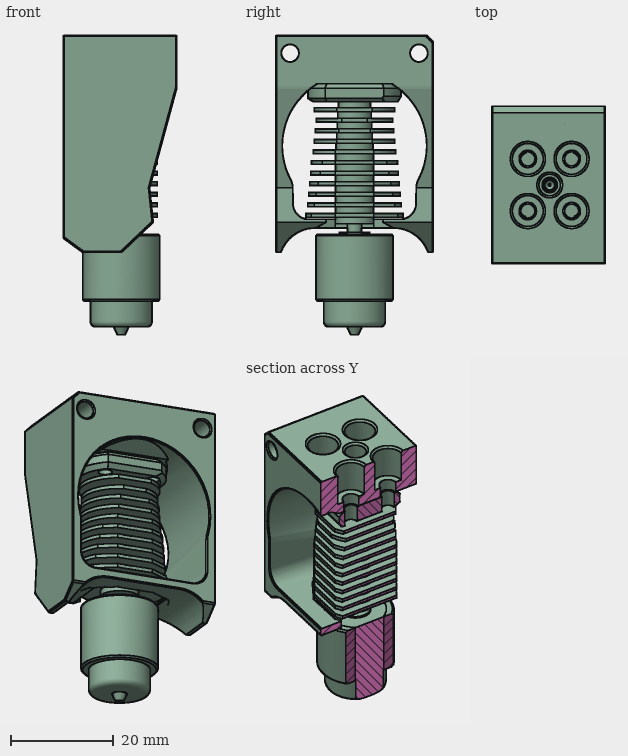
import cadquery as cq
import math


HOUSING_TOP = 58.45
HOUSING_BACK = -11.35
HOUSING_FRONT = 10.85
HOUSING_WIDTH = 30.8
HOUSING_FOOT = 16.05
BACK_EDGE_Z = 18.9
RIM_CHAMFER = 0.25
TOP_CHAMFER = 1.35

CAVITY_RADIUS = 14.1
CAVITY_CENTRE_Z = 36.85
FLOOR_TOP = 22.55
FLOOR_BOTTOM = 20.8
WALL_HALF_WIDTH_BACK = 13.45
WALL_TAPER = 0.085
FLOOR_FILLET = 3.0
WALL_BLEND = 4.1
ARCH_RADIUS = 7.0
ARCH_FLAT_HALF = 7.7

MOUNT_DIAMETER = 3.4
MOUNT_RIM_DIAMETER = 4.0
MOUNT_Y = 12.55
MOUNT_Z = 54.9

SCREW_X = 4.25
SCREW_Y = 5.1
SCREW_BORE_DIAMETER = 6.0
SCREW_SEAT_Z = 51.4
SCREW_CLEARANCE_DIAMETER = 3.4
SCREW_THREAD_DIAMETER = 2.75
INLET_DIAMETER = 4.2
BORE_CHAMFER = 0.4

FLAT_X = 7.05
FACET_START_Y = 3.75
FACET_ANGLE = 30.0
PLATE_RADIUS = 9.1
PLATE_TOP = 48.95
PLATE_BOTTOM = 45.4
PLATE_TOP_CHAMFER = 0.9
PLATE_BOTTOM_CHAMFER_HEIGHT = 1.1
PLATE_BOTTOM_CHAMFER_WIDTH = 0.7
FIN_RADII = [7.9, 7.5, 7.7, 7.9, 8.05, 8.4, 8.6, 8.75, 8.95, 9.2, 9.45]
FIN_STACK_HEIGHT = 20.6
FIN_THICKNESS = 0.75
BOTTOM_FIN_BOTTOM = 22.9
STEM_TOP_RADIUS = 3.15
STEM_STEP = 0.1
STEM_RADIUS = 3.75
STEM_BOTTOM = 21.6
FILAMENT_DIAMETER = 2.45
FILAMENT_RIM_DIAMETER = 3.0
FIT_CLEARANCE = 0.2

SLEEVE_RADIUS = 7.55
SLEEVE_TOP = 19.65
SLEEVE_BOTTOM = 6.55
SLEEVE_CHAMFER = 0.35
CORE_RADIUS = 6.0
CORE_BOTTOM = 1.5
CORE_FILLET = 1.05
COLLAR_DIAMETER = 6.0
COLLAR_TOP = 20.0
TUBE_DIAMETER = 2.75
TUBE_TOP = 29.2
TUBE_BORE_DIAMETER = 1.9
TIP_BASE_DIAMETER = 3.0
TIP_DIAMETER = 1.5
ORIFICE_DIAMETER = 0.385
ORIFICE_LENGTH = 0.6

SCREW_POINTS = [(x, y) for x in (-SCREW_X, SCREW_X) for y in (-SCREW_Y, SCREW_Y)]
FIN_PITCH = FIN_STACK_HEIGHT / (len(FIN_RADII) - 1)
FIN_BOTTOMS = [BOTTOM_FIN_BOTTOM + FIN_STACK_HEIGHT - index * FIN_PITCH for index in range(len(FIN_RADII))]
HOUSING_HALF = HOUSING_WIDTH / 2
HOUSING_DEPTH = HOUSING_FRONT - HOUSING_BACK


def disc(radius, bottom, top):
    """Cylinder on the nozzle axis between two heights."""
    return cq.Workplane("XY").workplane(offset=bottom).circle(radius).extrude(top - bottom)


def faceted_disc(radius, bottom, top, clearance=0.0):
    """Disc cut by flats at both X ends and by slanted facets beside each flat."""
    slope = math.tan(math.radians(FACET_ANGLE))
    tip_y = FACET_START_Y + FLAT_X / slope
    outline = [
        (FLAT_X, -FACET_START_Y),
        (FLAT_X, FACET_START_Y),
        (0, tip_y),
        (-FLAT_X, FACET_START_Y),
        (-FLAT_X, -FACET_START_Y),
        (0, -tip_y),
    ]
    facets = cq.Workplane("XY").workplane(offset=bottom).polyline(outline).close()
    if clearance:
        facets = facets.offset2D(clearance, "intersection")
    return facets.extrude(top - bottom).intersect(disc(radius + clearance, bottom, top))


def clipped_plate(clearance=0.0):
    """Round mounting plate with a flat at each X end."""
    flats = cq.Workplane("XY").box(2 * (FLAT_X + clearance), HOUSING_WIDTH, 2 * HOUSING_TOP)
    return disc(PLATE_RADIUS + clearance, PLATE_BOTTOM, PLATE_TOP).intersect(flats)


def housing_block():
    side = [
        (HOUSING_BACK, HOUSING_TOP),
        (HOUSING_FRONT, HOUSING_TOP),
        (HOUSING_FRONT, 48.2),
        (5.55, 28.65),
        (6.25, 21.95),
        (0.05, HOUSING_FOOT),
        (-7.5, HOUSING_FOOT),
        (HOUSING_BACK, BACK_EDGE_Z),
    ]
    block = cq.Workplane("XZ").polyline(side).close().extrude(HOUSING_HALF, both=True)
    block = block.edges(">Y and >Z").chamfer(TOP_CHAMFER)
    bevel_edge = cq.selectors.BoxSelector(
        (HOUSING_BACK + 0.6, HOUSING_HALF - 0.6, HOUSING_TOP - 2 * TOP_CHAMFER),
        (HOUSING_FRONT - 0.6, HOUSING_HALF + 0.6, HOUSING_TOP),
    )
    foot_edge = cq.selectors.BoxSelector(
        (HOUSING_BACK - 0.6, -0.6, BACK_EDGE_Z - 0.6),
        (HOUSING_BACK + 0.6, 0.6, BACK_EDGE_Z + 0.6),
    )
    sharp = cq.selectors.InverseSelector(cq.selectors.SumSelector(bevel_edge, foot_edge))
    return block.faces("<X or >X or <Y or >Y").edges(sharp).chamfer(RIM_CHAMFER)


def cavity():
    """Round duct joined to a tapering lower part, below a roof that slopes down to the plate."""
    duct = (
        cq.Workplane("YZ", origin=(HOUSING_BACK, 0, 0))
        .center(0, CAVITY_CENTRE_Z)
        .circle(CAVITY_RADIUS)
        .extrude(HOUSING_DEPTH)
    )
    far_half = WALL_HALF_WIDTH_BACK - WALL_TAPER * HOUSING_DEPTH
    plan = [
        (HOUSING_BACK, -WALL_HALF_WIDTH_BACK),
        (HOUSING_FRONT, -far_half),
        (HOUSING_FRONT, far_half),
        (HOUSING_BACK, WALL_HALF_WIDTH_BACK),
    ]
    lower = (
        cq.Workplane("XY")
        .workplane(offset=FLOOR_TOP)
        .polyline(plan)
        .close()
        .extrude(CAVITY_CENTRE_Z - FLOOR_TOP)
    )
    lower = lower.faces("<Z").edges("not #X").edges("not |Y").fillet(FLOOR_FILLET)
    shape = duct.union(lower)
    band = cq.selectors.BoxSelector(
        (HOUSING_BACK - 0.6, -CAVITY_RADIUS, CAVITY_CENTRE_Z - 10.5),
        (HOUSING_FRONT + 0.6, CAVITY_RADIUS, CAVITY_CENTRE_Z - 2.9),
    )
    shape = shape.edges(band).edges("not #X").fillet(WALL_BLEND)
    roof = [
        (HOUSING_BACK, CAVITY_CENTRE_Z + CAVITY_RADIUS + 2 * RIM_CHAMFER),
        (-FLAT_X, PLATE_TOP),
        (HOUSING_FRONT, PLATE_TOP),
        (HOUSING_FRONT, 0),
        (HOUSING_BACK, 0),
    ]
    below_roof = cq.Workplane("XZ").polyline(roof).close().extrude(HOUSING_WIDTH, both=True)
    return shape.intersect(below_roof)


def arch():
    """Rounded archway under the floor."""
    side_y = ARCH_FLAT_HALF + ARCH_RADIUS
    spring_z = FLOOR_BOTTOM - ARCH_RADIUS
    diagonal = ARCH_RADIUS * math.sqrt(0.5)
    return (
        cq.Workplane("YZ", origin=(HOUSING_BACK, 0, 0))
        .moveTo(-side_y, spring_z)
        .threePointArc((-ARCH_FLAT_HALF - diagonal, spring_z + diagonal), (-ARCH_FLAT_HALF, FLOOR_BOTTOM))
        .lineTo(ARCH_FLAT_HALF, FLOOR_BOTTOM)
        .threePointArc((ARCH_FLAT_HALF + diagonal, spring_z + diagonal), (side_y, spring_z))
        .close()
        .extrude(HOUSING_DEPTH)
    )


def mount_hole(y):
    """Hole along X with a countersunk rim on the back face."""
    start = cq.Workplane("YZ", origin=(HOUSING_BACK, y, MOUNT_Z))
    rim_depth = (MOUNT_RIM_DIAMETER - MOUNT_DIAMETER) / 2
    bore = start.circle(MOUNT_DIAMETER / 2).extrude(HOUSING_DEPTH)
    rim = start.circle(MOUNT_RIM_DIAMETER / 2).workplane(offset=rim_depth).circle(MOUNT_DIAMETER / 2).loft()
    return bore.union(rim)


def top_bores(points, diameter, bottom):
    """Vertical bores from the housing top, each with a chamfered mouth."""
    bores = (
        cq.Workplane("XY")
        .workplane(offset=bottom)
        .pushPoints(points)
        .circle(diameter / 2)
        .extrude(HOUSING_TOP - bottom)
    )
    mouths = (
        cq.Workplane("XY")
        .workplane(offset=HOUSING_TOP)
        .pushPoints(points)
        .circle(diameter / 2 + BORE_CHAMFER)
        .extrude(-BORE_CHAMFER, taper=45)
    )
    return bores.union(mouths)


def screw_shanks(diameter, bottom, top):
    """Four vertical cylinders at the screw positions."""
    start = cq.Workplane("XY").workplane(offset=bottom)
    return start.pushPoints(SCREW_POINTS).circle(diameter / 2).extrude(top - bottom)


def make_housing():
    body = housing_block().cut(cavity()).cut(arch())
    inner_rim = cq.selectors.BoxSelector(
        (HOUSING_BACK - 0.6, -MOUNT_Y - ARCH_RADIUS / 4, FLOOR_TOP - ARCH_RADIUS),
        (HOUSING_BACK + 0.6, MOUNT_Y + ARCH_RADIUS / 4, MOUNT_Z),
    )
    body = body.faces("<X").edges(inner_rim).chamfer(RIM_CHAMFER)
    body = body.cut(clipped_plate(FIT_CLEARANCE))
    body = body.cut(faceted_disc(FIN_RADII[-1], FLOOR_BOTTOM, FLOOR_TOP, FIT_CLEARANCE))
    for y in (-MOUNT_Y, MOUNT_Y):
        body = body.cut(mount_hole(y))
    body = body.cut(top_bores(SCREW_POINTS, SCREW_BORE_DIAMETER, SCREW_SEAT_Z))
    body = body.cut(screw_shanks(SCREW_CLEARANCE_DIAMETER, PLATE_TOP, SCREW_SEAT_Z))
    return body.cut(top_bores([(0, 0)], INLET_DIAMETER, PLATE_TOP))


def make_stem():
    """Round stem that widens by a small step at each fin until it reaches full size."""
    stem = disc(STEM_TOP_RADIUS, STEM_BOTTOM, PLATE_BOTTOM)
    for index, bottom in enumerate(FIN_BOTTOMS):
        radius = min(STEM_RADIUS, STEM_TOP_RADIUS + (index + 1) * STEM_STEP)
        stem = stem.union(disc(radius, STEM_BOTTOM, bottom))
    return stem


def make_plate():
    """Mounting plate with an even top chamfer and a taller bottom one."""
    plate = clipped_plate().faces(">Z").edges().chamfer(PLATE_TOP_CHAMFER)
    return plate.faces("<Z").edges().chamfer(PLATE_BOTTOM_CHAMFER_HEIGHT, PLATE_BOTTOM_CHAMFER_WIDTH)


def make_heatsink():
    body = make_plate().union(make_stem())
    for radius, bottom in zip(FIN_RADII, FIN_BOTTOMS):
        body = body.union(faceted_disc(radius, bottom, bottom + FIN_THICKNESS))
    body = body.cut(screw_shanks(SCREW_THREAD_DIAMETER, PLATE_BOTTOM, PLATE_TOP))
    body = body.cut(disc(FILAMENT_DIAMETER / 2, TUBE_TOP, PLATE_TOP))
    rim_depth = (FILAMENT_RIM_DIAMETER - FILAMENT_DIAMETER) / 2
    rim = (
        cq.Workplane("XY")
        .workplane(offset=PLATE_TOP)
        .circle(FILAMENT_RIM_DIAMETER / 2)
        .extrude(-rim_depth, taper=45)
    )
    return body.cut(rim).cut(disc(TUBE_DIAMETER / 2, STEM_BOTTOM, TUBE_TOP))


def make_sleeve():
    ring = disc(SLEEVE_RADIUS, SLEEVE_BOTTOM, SLEEVE_TOP).edges().chamfer(SLEEVE_CHAMFER)
    return ring.cut(disc(CORE_RADIUS, SLEEVE_BOTTOM, SLEEVE_TOP))


def make_core():
    """Round core inside the sleeve, with a collar on top and a bore for the nozzle."""
    body = disc(CORE_RADIUS, CORE_BOTTOM, SLEEVE_TOP).edges("<Z").fillet(CORE_FILLET)
    body = body.union(disc(COLLAR_DIAMETER / 2, SLEEVE_TOP, COLLAR_TOP))
    return body.cut(disc(TUBE_DIAMETER / 2, CORE_BOTTOM, COLLAR_TOP))


def make_nozzle():
    """Long tube with a conical tip, bored out and narrowing to the orifice."""
    half_section = [
        (ORIFICE_DIAMETER / 2, 0),
        (TIP_DIAMETER / 2, 0),
        (TIP_BASE_DIAMETER / 2, CORE_BOTTOM),
        (TUBE_DIAMETER / 2, CORE_BOTTOM),
        (TUBE_DIAMETER / 2, TUBE_TOP),
        (TUBE_BORE_DIAMETER / 2, TUBE_TOP),
        (TUBE_BORE_DIAMETER / 2, CORE_BOTTOM),
        (ORIFICE_DIAMETER / 2, ORIFICE_LENGTH),
    ]
    return cq.Workplane("XZ").polyline(half_section).close().revolve(360, (0, 0), (0, 1))


housing = make_housing()
heatsink = make_heatsink()
sleeve = make_sleeve()
core = make_core()
nozzle = make_nozzle()

result = cq.Compound.makeCompound(
    [housing.val(), heatsink.val(), sleeve.val(), core.val(), nozzle.val()]
)